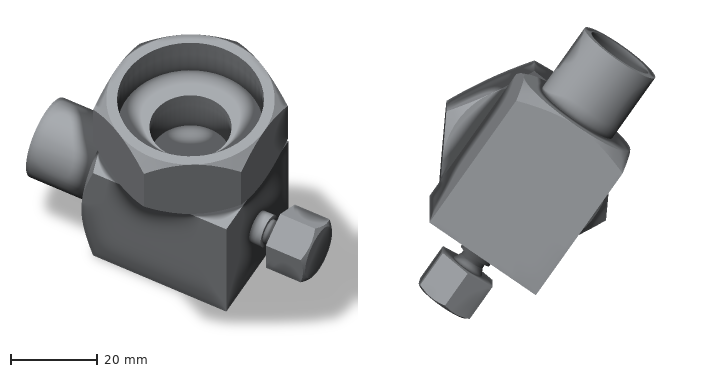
import cadquery as cq
import math

overall_length = 71.65
hexagon_half_step = 30

block_side = 30.0
block_left = -20.55
block_right = 17.6
block_top = block_side / 2
block_chamfer_depth = 3.1

stub_end = -37.9
stub_diameter = 20.0
stub_bore_diameter = 16.1
stub_floor_diameter = 14.9
stub_floor_cone_depth = 0.6

neck_diameter = stub_diameter
neck_height = 3.0
neck_bore = 19.0
nut_flats = 39.0
nut_height = 18.0
nut_socket_diameter = 33.95
nut_socket_depth = 10.0
nut_chamfer_angle = 45

collar_diameter = 8.0
collar_length = 3.0
groove_diameter = 6.0
groove_length = 1.3
flare_diameter = 7.9
flare_length = 1.7
screw_flats = 14.0
screw_end = stub_end + overall_length
screw_face_diameter = 13.0
screw_chamfer_angle = 30

nut_bottom = block_top + neck_height
nut_top = nut_bottom + nut_height
collar_end = block_right + collar_length
groove_end = collar_end + groove_length
flare_end = groove_end + flare_length


def x_cone(start, end, start_diameter, end_diameter):
    """Solid of revolution about the X axis, straight or tapered."""
    return (
        cq.Workplane("XY")
        .moveTo(start, 0)
        .lineTo(start, start_diameter / 2)
        .lineTo(end, end_diameter / 2)
        .lineTo(end, 0)
        .close()
        .revolve(360, (0, 0, 0), (1, 0, 0))
    )


def z_cylinder(bottom, top, diameter):
    """Upright cylinder on the Z axis."""
    return cq.Workplane("XY").workplane(offset=bottom).circle(diameter / 2).extrude(top - bottom)


def corner_diameter(flats):
    """Distance across the corners of a hexagon."""
    return flats / math.cos(math.radians(hexagon_half_step))


def make_block():
    """Square block whose left corners are turned down to a cone."""
    block = cq.Workplane("XY").box(block_right - block_left, block_side, block_side)
    block = block.translate(((block_left + block_right) / 2, 0, 0))
    corner = block_side * math.sqrt(2)
    cone_end = block_left + block_chamfer_depth
    turned = x_cone(block_left, cone_end, block_side, corner)
    turned = turned.union(x_cone(cone_end, block_right, corner, corner))
    return block.intersect(turned)


def make_nut():
    """Hexagon with corners along Y, chamfered at both ends."""
    corners = corner_diameter(nut_flats)
    hexagon = (
        cq.Workplane("XY")
        .workplane(offset=nut_bottom)
        .polygon(6, corners)
        .extrude(nut_height)
        .rotate((0, 0, 0), (0, 0, 1), hexagon_half_step)
    )
    radial = (corners - nut_flats) / 2
    axial = radial * math.tan(math.radians(nut_chamfer_angle))
    turned = z_cylinder(nut_bottom, nut_top, corners).edges().chamfer(axial, radial)
    return hexagon.intersect(turned)


def make_screw():
    """Stepped and flared shank with a hexagon head, corners along Z."""
    shank = x_cone(block_right, collar_end, collar_diameter, collar_diameter)
    shank = shank.union(x_cone(collar_end, groove_end, groove_diameter, groove_diameter))
    shank = shank.union(x_cone(groove_end, flare_end, groove_diameter, flare_diameter))
    corners = corner_diameter(screw_flats)
    head = (
        cq.Workplane("YZ")
        .workplane(offset=flare_end)
        .polygon(6, corners)
        .extrude(screw_end - flare_end)
        .rotate((0, 0, 0), (1, 0, 0), hexagon_half_step)
    )
    radial = (corners - screw_face_diameter) / 2
    cone_start = screw_end - radial * math.tan(math.radians(screw_chamfer_angle))
    turned = x_cone(flare_end, cone_start, corners, corners)
    turned = turned.union(x_cone(cone_start, screw_end, corners, screw_face_diameter))
    return shank.union(head.intersect(turned))


stub = x_cone(stub_end, block_left, stub_diameter, stub_diameter)
neck = z_cylinder(block_top, nut_bottom, neck_diameter)
body = make_block().union(stub).union(neck).union(make_nut()).union(make_screw())

floor_cone_start = block_left - stub_floor_cone_depth
stub_bore = x_cone(stub_end, floor_cone_start, stub_bore_diameter, stub_bore_diameter)
stub_bore = stub_bore.union(x_cone(floor_cone_start, block_left, stub_bore_diameter, stub_floor_diameter))
nut_socket = z_cylinder(nut_top - nut_socket_depth, nut_top, nut_socket_diameter)
neck_bore_void = z_cylinder(block_top, nut_top, neck_bore)

result = body.cut(stub_bore).cut(nut_socket).cut(neck_bore_void)